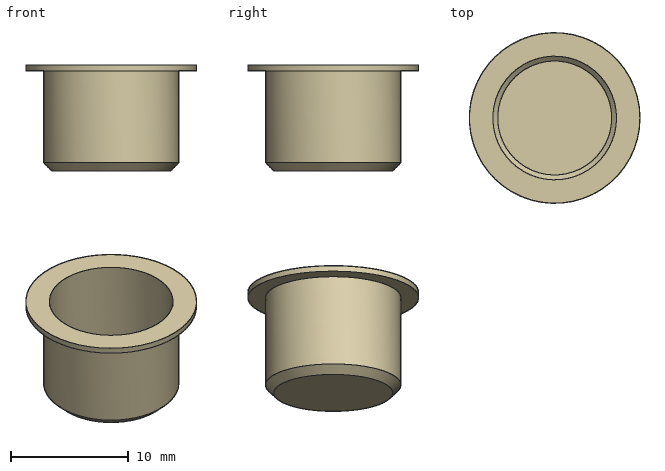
import cadquery as cq
import math

total_height = 9.0
flange_diameter = 14.5
body_diameter = 11.5
wall = 0.5
outer_bevel_length = 1.0

bore_diameter = body_diameter - 2 * wall
bore_depth = total_height - wall
outer_chamfer = outer_bevel_length / math.sqrt(2)
inner_chamfer = outer_chamfer - wall * (2 - math.sqrt(2))


def disc(diameter, bottom, height):
    """Cylinder along Z that starts at the given bottom height."""
    return cq.Workplane("XY").workplane(offset=bottom).circle(diameter / 2).extrude(height)


def cup_body():
    """Solid plug with a bevelled closed end at Z = 0."""
    return disc(body_diameter, 0, total_height).faces("<Z").edges().chamfer(outer_chamfer)


def flange():
    """Thin disc flush with the open end."""
    return disc(flange_diameter, total_height - wall, wall)


def bore():
    """Blind bore volume, bevelled where it meets the floor."""
    return disc(bore_diameter, wall, bore_depth).faces("<Z").edges().chamfer(inner_chamfer)


result = cup_body().union(flange()).cut(bore())